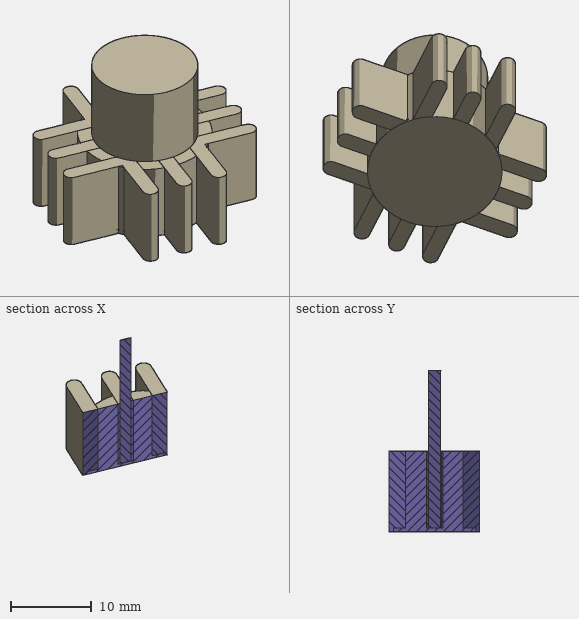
import cadquery as cq

span = 26.0
total_height = 20.0
base_height = 10.0
shaft_radius = 6.58
hub_radius = 8.32
floor_height = 0.52
fin_width = 2.0
x_leg_offset = 4.68
y_leg_offset = 4.55

quarter_turns = [0, 90, 180, 270]
reach = span / 2
half_width = fin_width / 2


def fin(start, offset):
    """Straight +X fin from x = start to a rounded tip, centred on y = offset."""
    tip_start = reach - half_width
    return (
        cq.Workplane("XY")
        .moveTo(start, offset - half_width)
        .lineTo(tip_start, offset - half_width)
        .threePointArc((reach, offset), (tip_start, offset + half_width))
        .lineTo(start, offset + half_width)
        .close()
        .extrude(base_height)
    )


def cylinder(radius, bottom, height):
    return cq.Workplane("XY").workplane(offset=bottom).circle(radius).extrude(height)


fin_clearance = cylinder(shaft_radius, 0, base_height).union(cylinder(hub_radius, 0, floor_height))


def make_straight_fin():
    """Fin on the X axis, rooted against the shaft."""
    return fin(0, 0).cut(fin_clearance)


def make_corner_fin():
    """Two perpendicular legs in the +X +Y corner, joined as one body."""
    x_leg = fin(y_leg_offset - half_width, x_leg_offset)
    y_leg = fin(x_leg_offset - half_width, -y_leg_offset).rotate((0, 0, 0), (0, 0, 1), 90)
    return x_leg.union(y_leg).cut(fin_clearance)


def turned(body, angle):
    return body.rotate((0, 0, 0), (0, 0, 1), angle)


straight_fins = [turned(make_straight_fin(), angle) for angle in quarter_turns]
corner_fins = [turned(make_corner_fin(), angle) for angle in quarter_turns]


shaft = cylinder(shaft_radius, floor_height, total_height - floor_height)


def make_hub():
    """Disc with a matching socket for the shaft and a slot for every fin root."""
    disc = cylinder(hub_radius, 0, base_height).cut(shaft)
    for body in straight_fins + corner_fins:
        disc = disc.cut(body)
    return disc


hub = make_hub()

result = cq.Compound.makeCompound(
    [hub.val(), shaft.val()] + [body.val() for body in straight_fins + corner_fins]
)